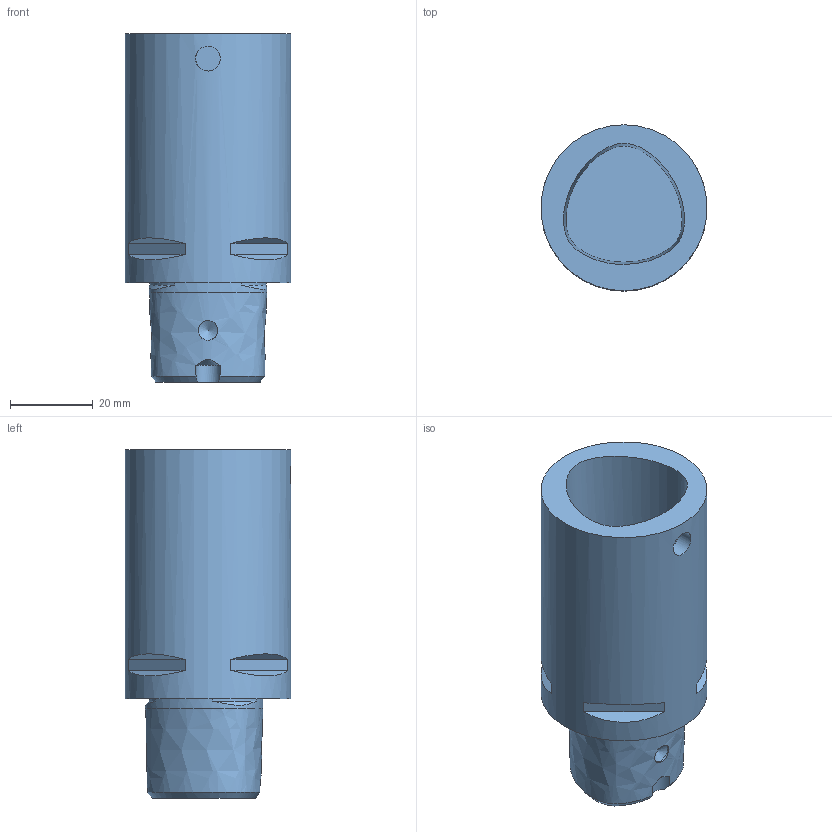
import cadquery as cq
import math

BODY_DIAMETER = 40.0
BODY_HEIGHT = 60.0

LOBE_RISE = 0.95
OUTLINE_POINTS = 48
TAPER = 1 / 20

SHANK_LENGTH = 24.0
SHANK_WIDTH = 28.3
NECK_LENGTH = 2.3
SHANK_CHAMFER_HEIGHT = 1.4
SHANK_CHAMFER_WIDTH = 1.1

RELIEF_RADIUS = 14.1
RELIEF_STRAIGHT = 0.6
RELIEF_RUNOUT = 1.25

SOCKET_WIDTH = 29.2
SOCKET_DEPTH = 24.0

GROOVE_COUNT = 4
GROOVE_START_ANGLE = 45.0
GROOVE_FLAT_DISTANCE = 17.5
GROOVE_FLAT_HEIGHT = 2.7
GROOVE_CENTRE_Z = 8.15
GROOVE_WALL_ANGLE = 27.5
CUTTER_OVERRUN = 1.0

MARKER_DIAMETER = 6.0
MARKER_BELOW_TOP = 6.0
MARKER_DEPTH = 4.0

DRILL_POINT_ANGLE = 118.0
DIMPLE_DIAMETER = 4.7
DIMPLE_Z = -11.5
DIMPLE_DEPTH = 1.7
NOTCH_DIAMETER = 6.0
NOTCH_HEIGHT = 4.1
NOTCH_AXIS_Y = -13.3


def lobed_wire(width, z):
    """Closed three-lobed curve of constant width at height z, starting at -Y."""

    def point(t):
        angle = 2 * math.pi * t - math.pi / 2
        support = width / 2 - LOBE_RISE * math.sin(3 * angle)
        slope = -3 * LOBE_RISE * math.cos(3 * angle)
        x = support * math.cos(angle) - slope * math.sin(angle)
        y = support * math.sin(angle) + slope * math.cos(angle)
        return (x, y, z)

    points = [cq.Vector(*point(index / OUTLINE_POINTS)) for index in range(OUTLINE_POINTS)]
    return cq.Wire.assembleEdges([cq.Edge.makeSpline(points, periodic=True)])


def lobed_solid(low_width, low_z, high_width, high_z):
    """Solid between two lobed outlines at different heights."""
    wires = [lobed_wire(low_width, low_z), lobed_wire(high_width, high_z)]
    return cq.Workplane(cq.Solid.makeLoft(wires, True))


def drill(diameter, depth, start, direction):
    """Cylinder of the given depth that ends in a drill point."""
    radius = diameter / 2
    point_height = radius / math.tan(math.radians(DRILL_POINT_ANGLE / 2))
    start = cq.Vector(*start)
    direction = cq.Vector(*direction)
    shaft = cq.Solid.makeCylinder(radius, depth, start, direction)
    tip_start = start + direction * depth
    tip = cq.Solid.makeCone(radius, 0, point_height, tip_start, direction)
    return cq.Workplane(shaft).union(cq.Workplane(tip))


def make_shank():
    chamfer_z = SHANK_CHAMFER_HEIGHT - SHANK_LENGTH
    end_width = SHANK_WIDTH - TAPER * (-NECK_LENGTH - chamfer_z)
    tip_width = end_width - 2 * SHANK_CHAMFER_WIDTH
    neck = lobed_solid(SHANK_WIDTH, -NECK_LENGTH, SHANK_WIDTH, 0)
    cone = lobed_solid(end_width, chamfer_z, SHANK_WIDTH, -NECK_LENGTH)
    tip = lobed_solid(tip_width, -SHANK_LENGTH, end_width, chamfer_z)
    return neck.union(cone).union(tip).cut(make_relief())


def make_relief():
    """Ring around the neck; only the lobes reach into it."""
    outer_radius = RELIEF_RADIUS + RELIEF_RUNOUT
    profile = [
        (RELIEF_RADIUS, 0),
        (RELIEF_RADIUS, -RELIEF_STRAIGHT),
        (outer_radius, -RELIEF_STRAIGHT - RELIEF_RUNOUT),
        (outer_radius, 0),
    ]
    return cq.Workplane("XZ").polyline(profile).close().revolve(360, (0, 0), (0, 1))


def make_socket():
    floor_width = SOCKET_WIDTH - TAPER * SOCKET_DEPTH
    return lobed_solid(floor_width, BODY_HEIGHT - SOCKET_DEPTH, SOCKET_WIDTH, BODY_HEIGHT)


def make_groove(angle):
    """Straight trapezoidal groove across the body at the given angle about Z."""
    outer_x = BODY_DIAMETER / 2 + CUTTER_OVERRUN
    depth = outer_x - GROOVE_FLAT_DISTANCE
    floor_half = GROOVE_FLAT_HEIGHT / 2
    mouth_half = floor_half + depth * math.tan(math.radians(GROOVE_WALL_ANGLE))
    profile = [
        (GROOVE_FLAT_DISTANCE, GROOVE_CENTRE_Z - floor_half),
        (outer_x, GROOVE_CENTRE_Z - mouth_half),
        (outer_x, GROOVE_CENTRE_Z + mouth_half),
        (GROOVE_FLAT_DISTANCE, GROOVE_CENTRE_Z + floor_half),
    ]
    groove = cq.Workplane("XZ").polyline(profile).close().extrude(BODY_DIAMETER / 2, both=True)
    return groove.rotate((0, 0, 0), (0, 0, 1), angle)


def make_marker_hole():
    start = cq.Vector(0, -BODY_DIAMETER / 2, BODY_HEIGHT - MARKER_BELOW_TOP)
    inward = cq.Vector(0, 1, 0)
    return cq.Workplane(cq.Solid.makeCylinder(MARKER_DIAMETER / 2, MARKER_DEPTH, start, inward))


def make_dimple():
    side_y = -SHANK_WIDTH / 2
    return drill(DIMPLE_DIAMETER, DIMPLE_DEPTH, (0, side_y, DIMPLE_Z), (0, 1, 0))


def make_notch():
    return drill(NOTCH_DIAMETER, NOTCH_HEIGHT, (0, NOTCH_AXIS_Y, -SHANK_LENGTH), (0, 0, 1))


result = cq.Workplane("XY").circle(BODY_DIAMETER / 2).extrude(BODY_HEIGHT)
result = result.union(make_shank())
result = result.cut(make_socket())
for index in range(GROOVE_COUNT):
    result = result.cut(make_groove(GROOVE_START_ANGLE + index * 360 / GROOVE_COUNT))
result = result.cut(make_marker_hole())
result = result.cut(make_dimple())
result = result.cut(make_notch())